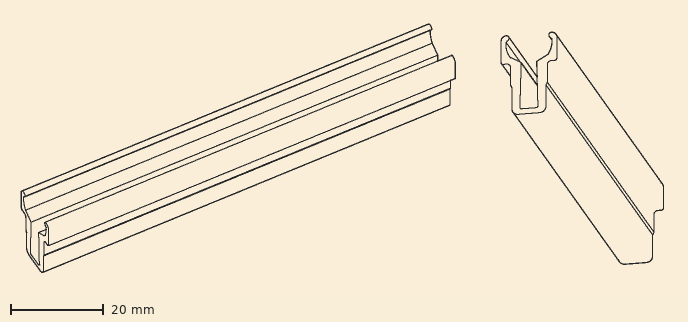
import cadquery as cq
import math

length = 100.0
width = 12.4
height = 18.2

seat_radius = 5.1
seat_center_z = 16.1
seat_end_x = 4.2
lip_radius = 0.6
lip_center_x = 5.0
arm_shoulder_z = 17.0
arm_bottom_z = 11.7
arm_corner_radius = 0.5
arm_root_radius = 0.8

stem_upper_half_width = 4.1
stem_lower_half_width = 3.8
step_top_z = 6.8
step_bottom_z = 6.2
slot_mouth_half_width = 1.7
slot_mouth_z = 11.8
slot_floor_half_width = 2.0
slot_corner_radius = 0.4
floor_thickness = 1.2
base_corner_radius = 1.4

half_width = width / 2
lip_center_z = height - lip_radius
lip_inner_x = lip_center_x - lip_radius
lip_diagonal = lip_radius * math.sqrt(0.5)
seat_end_z = seat_center_z - math.sqrt(seat_radius**2 - seat_end_x**2)
lip_end = (lip_center_x - lip_diagonal, lip_center_z - lip_diagonal)
seat_start_z = arm_shoulder_z - lip_radius / 2
seat_start_x = math.sqrt(seat_radius**2 - (seat_start_z - seat_center_z) ** 2)
shoulder_bulge = (
    (half_width + lip_center_x) / 2 + (half_width - lip_center_x) * (math.sqrt(0.5) - 0.5),
    (height + arm_shoulder_z) / 2 + (height - arm_shoulder_z) * (math.sqrt(0.5) - 0.5),
)


def half_channel():
    """Right half of the channel, from the centre plane outwards."""
    section = (
        cq.Workplane("XZ")
        .moveTo(0, 0)
        .lineTo(stem_lower_half_width - base_corner_radius, 0)
        .radiusArc((stem_lower_half_width, base_corner_radius), -base_corner_radius)
        .lineTo(stem_lower_half_width, step_bottom_z)
        .lineTo(stem_upper_half_width, step_top_z)
        .lineTo(stem_upper_half_width, arm_bottom_z - arm_root_radius)
        .radiusArc((stem_upper_half_width + arm_root_radius, arm_bottom_z), arm_root_radius)
        .lineTo(half_width - arm_corner_radius, arm_bottom_z)
        .radiusArc((half_width, arm_bottom_z + arm_corner_radius), -arm_corner_radius)
        .lineTo(half_width, arm_shoulder_z)
        .threePointArc(shoulder_bulge, (lip_center_x, height))
        .threePointArc((lip_inner_x, lip_center_z), lip_end)
        .lineTo(seat_start_x, seat_start_z)
        .threePointArc((seat_radius, seat_center_z), (seat_end_x, seat_end_z))
        .lineTo(slot_mouth_half_width, slot_mouth_z)
        .lineTo(slot_floor_half_width, floor_thickness + slot_corner_radius)
        .radiusArc((slot_floor_half_width - slot_corner_radius, floor_thickness), slot_corner_radius)
        .lineTo(0, floor_thickness)
        .close()
    )
    return section.extrude(length / 2, both=True)


right_half = half_channel()
result = right_half.union(right_half.mirror("YZ")).clean()